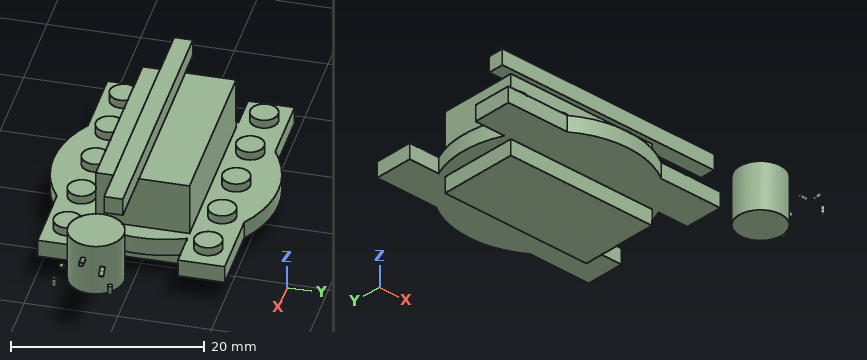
import cadquery as cq
import math

overall_length = 51.55

box_length = 20.0
box_width = 10.0
box_height = 10.0
plate_thickness = 2.0
plate_bottom = 2.0
plate_top = plate_bottom + plate_thickness
disc_diameter = 24.0
rail_length = 30.0
rail_width = 5.0
rail_offset = (box_width + rail_width) / 2
stud_diameter = 3.0
stud_height = 1.0
studs_per_rail = 5
stud_pitch = rail_length / studs_per_rail

bar_length = rail_length
bar_side = 2.0
bar_bottom = 14.0
bar_center_x = 7.5

drum_diameter = 6.0
drum_height = 6.0
drum_bottom = 11.0
drum_center_x = 30.0

peg_diameter = 0.5
peg_length = 1.0
peg_count = 5
peg_step = 180 / (peg_count - 1)
peg_arc_radius = 3.0
peg_arc_height = 14.0
tilted_peg_reach = (peg_length + peg_diameter) / 2 * math.cos(math.radians(45))
peg_center_x = overall_length - rail_length / 2 - tilted_peg_reach


def make_hull():
    plate = cq.Workplane("XY").workplane(offset=plate_bottom)
    hull = plate.circle(disc_diameter / 2).extrude(plate_thickness)
    rails = (
        plate.pushPoints([(0, -rail_offset), (0, rail_offset)])
        .rect(rail_length, rail_width)
        .extrude(plate_thickness)
    )
    box = cq.Workplane("XY").rect(box_length, box_width).extrude(box_height)
    studs = (
        cq.Workplane("XY").workplane(offset=plate_top)
        .rarray(stud_pitch, 2 * rail_offset, studs_per_rail, 2)
        .circle(stud_diameter / 2)
        .extrude(stud_height)
    )
    return hull.union(rails).union(box).union(studs)


def make_bar():
    return (
        cq.Workplane("XY", origin=(bar_center_x, 0, bar_bottom))
        .rect(bar_length, bar_side)
        .extrude(bar_side)
    )


def make_drum():
    return (
        cq.Workplane("XY", origin=(drum_center_x, 0, drum_bottom))
        .circle(drum_diameter / 2)
        .extrude(drum_height)
    )


def make_peg(angle):
    """Peg at an angle from the top of the arc, tilted by the same angle about its own Y axis."""
    y = peg_arc_radius * math.sin(math.radians(angle))
    z = peg_arc_height + peg_arc_radius * math.cos(math.radians(angle))
    return (
        cq.Workplane("YZ")
        .circle(peg_diameter / 2)
        .extrude(peg_length / 2, both=True)
        .rotate((0, 0, 0), (0, 1, 0), angle)
        .translate((peg_center_x, y, z))
    )


hull = make_hull()
bar = make_bar()
drum = make_drum()
pegs = [make_peg(-90 + i * peg_step) for i in range(peg_count)]

result = cq.Compound.makeCompound(
    [hull.val(), bar.val(), drum.val(), *[peg.val() for peg in pegs]]
)